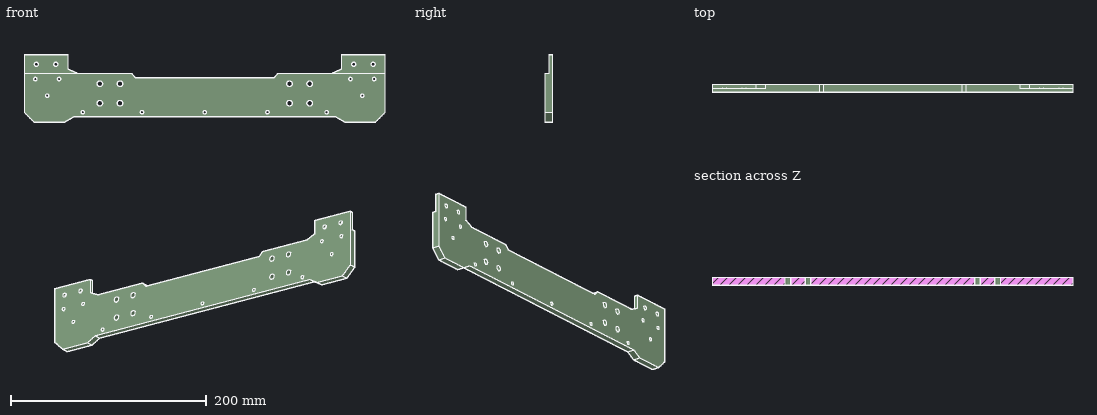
import cadquery as cq

length = 368.0
height = 69.0
thickness = 8.0
half_length = length / 2

corner_chamfer = 10.0
foot_inner_x = 143.0
foot_slope_end_x = 133.5
foot_drop = 5.5

shoulder_z = 50.0
notch_depth = 4.5
notch_top_x = 74.7
notch_floor_x = 70.5

tab_thickness = thickness / 2
tab_inner_x = 139.5
tab_slope_end_x = 130.0
tab_slope_rise = 4.5
tab_root_z = shoulder_z / 2

tab_hole_diameter = 4.0
screw_hole_diameter = 3.3
mount_hole_diameter = 5.5
tab_hole_z = 59.2
tab_hole_xs = (152.0, 172.0)
end_holes = ((148.5, 44.0), (173.0, 44.0), (161.0, 27.2))
mount_hole_xs = (86.5, 107.0)
mount_hole_zs = (19.5, 39.5)
edge_hole_z = 10.3
edge_hole_xs = (64.0, 124.5)


def mirrored(points):
    """Return the points together with their mirror images about X = 0."""
    return points + [(-x, z) for x, z in reversed(points)]


def extrude_from_back(points, depth):
    """Extrude a closed XZ outline from the back face toward -Y."""
    back_plane = cq.Workplane("XZ", origin=(0, thickness, 0))
    return back_plane.polyline(points).close().extrude(depth)


def make_body():
    right_outline = [
        (foot_slope_end_x, foot_drop),
        (foot_inner_x, 0),
        (half_length - corner_chamfer, 0),
        (half_length, corner_chamfer),
        (half_length, shoulder_z),
        (notch_top_x, shoulder_z),
        (notch_floor_x, shoulder_z - notch_depth),
    ]
    return extrude_from_back(mirrored(right_outline), thickness)


def make_tab(side):
    """Build one tab, reaching down into the body; side is +1 or -1 in X."""
    outline = [
        (half_length, tab_root_z),
        (half_length, height),
        (tab_inner_x, height),
        (tab_inner_x, shoulder_z + tab_slope_rise),
        (tab_slope_end_x, shoulder_z),
        (tab_slope_end_x, tab_root_z),
    ]
    return extrude_from_back([(side * x, z) for x, z in outline], tab_thickness)


def make_holes(points, diameter):
    """Build cylinders that pass through the full thickness."""
    back_plane = cq.Workplane("XZ", origin=(0, thickness, 0))
    return back_plane.pushPoints(points).circle(diameter / 2).extrude(thickness)


tab_holes = [(x, tab_hole_z) for x in tab_hole_xs]
mount_holes = [(x, z) for x in mount_hole_xs for z in mount_hole_zs]
edge_holes = [(x, edge_hole_z) for x in edge_hole_xs]
screw_holes = mirrored(list(end_holes) + edge_holes) + [(0, edge_hole_z)]

result = make_body()
for side in (-1, 1):
    result = result.union(make_tab(side))
result = result.cut(make_holes(mirrored(tab_holes), tab_hole_diameter))
result = result.cut(make_holes(screw_holes, screw_hole_diameter))
result = result.cut(make_holes(mirrored(mount_holes), mount_hole_diameter))